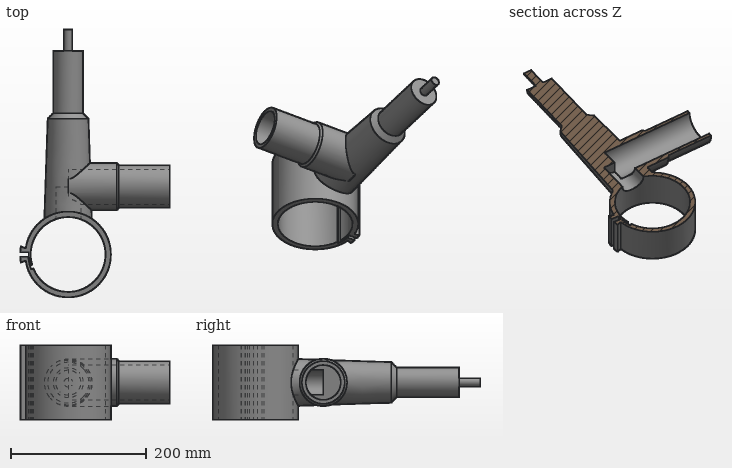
import cadquery as cq
import math

RING_HEIGHT = 110.0
BORE_RADIUS = 55.0
RING_WALL = 8.3
RING_RADIUS = BORE_RADIUS + RING_WALL

SPLIT_WIDTH = 6.0
LUG_REACH = 70.68
LUG_TIP_HALF_WIDTH = 12.0
LUG_ROOT_HALF_WIDTH = 9.4

TONGUE_THICKNESS = 3.2
TONGUE_CLEARANCE = 0.2
TONGUE_START_ANGLE = 174.0
TONGUE_END_ANGLE = 196.0
RELIEF_START_ANGLE = 180.0
RELIEF_END_ANGLE = 202.0

ARM_BASE_Y = 40.0
ARM_BASE_RADIUS = 35.6
ARM_SHOULDER_Y = 200.0
ARM_SHOULDER_RADIUS = 30.25
SPINDLE_RADIUS = 22.0
SPINDLE_END_Y = 300.0
ROD_RADIUS = 6.5
TOTAL_LENGTH_Y = 394.88
ROD_END_Y = TOTAL_LENGTH_Y - RING_RADIUS

BRANCH_Y = 100.0
BRANCH_RADIUS = 35.0
PIPE_RADIUS = 31.5
SOCKET_END_X = 72.0
PIPE_START_X = 75.0
PIPE_END_X = 150.0

INLET_RADIUS = 18.5
OUTLET_RADIUS = 25.7


def polar(radius, angle):
    """Point at a radius and an angle in degrees from +X."""
    theta = math.radians(angle)
    return (radius * math.cos(theta), radius * math.sin(theta))


def ring_base():
    """Workplane on the lower face of the ring."""
    return cq.Workplane("XY").workplane(offset=-RING_HEIGHT / 2)


def ring_cylinder(radius):
    return ring_base().circle(radius).extrude(RING_HEIGHT)


def ring_sector(inner, outer, start, end):
    """Full-height arc-shaped wall between two radii and two angles."""
    middle = (start + end) / 2
    return (
        ring_base()
        .moveTo(*polar(inner, start))
        .lineTo(*polar(outer, start))
        .threePointArc(polar(outer, middle), polar(outer, end))
        .lineTo(*polar(inner, end))
        .threePointArc(polar(inner, middle), polar(inner, start))
        .close()
        .extrude(RING_HEIGHT)
    )


def lug_block():
    """Both lugs as one flared block with a rounded tip, before the split."""
    tip_radius = math.hypot(LUG_REACH, SPLIT_WIDTH / 2)
    tip_x = -math.sqrt(tip_radius**2 - LUG_TIP_HALF_WIDTH**2)
    root_x = -math.sqrt(RING_RADIUS**2 - LUG_ROOT_HALF_WIDTH**2)
    inside_x = -(BORE_RADIUS + RING_WALL / 2)
    return (
        ring_base()
        .moveTo(inside_x, LUG_ROOT_HALF_WIDTH)
        .lineTo(root_x, LUG_ROOT_HALF_WIDTH)
        .lineTo(tip_x, LUG_TIP_HALF_WIDTH)
        .threePointArc((-tip_radius, 0), (tip_x, -LUG_TIP_HALF_WIDTH))
        .lineTo(root_x, -LUG_ROOT_HALF_WIDTH)
        .lineTo(inside_x, -LUG_ROOT_HALF_WIDTH)
        .close()
        .extrude(RING_HEIGHT)
    )


def tapered_arm():
    """Arm, shoulder cone, spindle and rod revolved about the Y axis."""
    cone_length = ARM_SHOULDER_RADIUS - SPINDLE_RADIUS
    profile = [
        (0, ARM_BASE_Y),
        (ARM_BASE_RADIUS, ARM_BASE_Y),
        (ARM_SHOULDER_RADIUS, ARM_SHOULDER_Y),
        (SPINDLE_RADIUS, ARM_SHOULDER_Y + cone_length),
        (SPINDLE_RADIUS, SPINDLE_END_Y),
        (ROD_RADIUS, SPINDLE_END_Y),
        (ROD_RADIUS, ROD_END_Y),
        (0, ROD_END_Y),
    ]
    return cq.Workplane("XY").polyline(profile).close().revolve(360, (0, 0), (0, 1))


def side_branch():
    """Branch socket and pipe stub revolved about the branch axis."""
    profile = [
        (0, 0),
        (0, BRANCH_RADIUS),
        (SOCKET_END_X, BRANCH_RADIUS),
        (PIPE_START_X, PIPE_RADIUS),
        (PIPE_END_X, PIPE_RADIUS),
        (PIPE_END_X, 0),
    ]
    return (
        cq.Workplane("XY", origin=(0, BRANCH_Y, 0))
        .polyline(profile)
        .close()
        .revolve(360, (0, 0), (1, 0))
    )


def split_slot():
    """Slot through the lugs and the ring wall."""
    return cq.Workplane("XY").box(
        LUG_REACH, SPLIT_WIDTH, RING_HEIGHT, centered=(False, True, True)
    ).translate((-LUG_REACH - RING_WALL, 0, 0))


def inlet_passage():
    return cq.Workplane("XZ").circle(INLET_RADIUS).extrude(-BRANCH_Y)


def outlet_passage():
    return (
        cq.Workplane("YZ", origin=(0, BRANCH_Y, 0))
        .circle(OUTLET_RADIUS)
        .extrude(PIPE_END_X)
    )


tongue_radius = BORE_RADIUS + TONGUE_THICKNESS
relief = ring_sector(
    BORE_RADIUS - RING_WALL,
    tongue_radius + TONGUE_CLEARANCE,
    RELIEF_START_ANGLE,
    RELIEF_END_ANGLE,
)
tongue = ring_sector(BORE_RADIUS, tongue_radius, TONGUE_START_ANGLE, TONGUE_END_ANGLE)

body = ring_cylinder(RING_RADIUS).union(lug_block())
body = body.union(tapered_arm()).union(side_branch())
body = body.cut(ring_cylinder(BORE_RADIUS))
body = body.cut(split_slot()).cut(relief)
body = body.cut(inlet_passage()).cut(outlet_passage())
result = body.union(tongue)